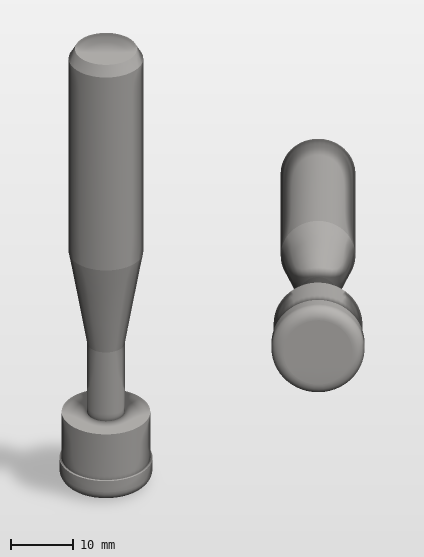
import cadquery as cq

total_height = 80.4

tip_diameter = 14.95
tip_height = 4.0
tip_fillet = 1.9

collar_diameter = 14.2
collar_top = 12.55

plug_diameter = 8.0

stem_diameter = 6.0
grip_diameter = 12.0
taper_bottom = 25.4
taper_top = 42.5
end_face_diameter = 10.0
end_chamfer_height = 1.8


def make_tip():
    """Solid disc with a rounded lower edge."""
    disc = cq.Workplane("XY").circle(tip_diameter / 2).extrude(tip_height)
    return disc.faces("<Z").edges().fillet(tip_fillet)


def make_collar():
    """Ring standing on the tip, bored through for the handle plug."""
    return (
        cq.Workplane("XY", origin=(0, 0, tip_height))
        .circle(collar_diameter / 2)
        .circle(plug_diameter / 2)
        .extrude(collar_top - tip_height)
    )


def make_handle():
    """Revolved plug, thin stem, taper and grip; the plug ends flush with the collar."""
    plug_radius = plug_diameter / 2
    stem_radius = stem_diameter / 2
    grip_radius = grip_diameter / 2
    half_outline = [
        (0, tip_height),
        (plug_radius, tip_height),
        (plug_radius, collar_top),
        (stem_radius, collar_top),
        (stem_radius, taper_bottom),
        (grip_radius, taper_top),
        (grip_radius, total_height - end_chamfer_height),
        (end_face_diameter / 2, total_height),
        (0, total_height),
    ]
    return cq.Workplane("XZ").polyline(half_outline).close().revolve(360, (0, 0), (0, 1))


tip = make_tip()
collar = make_collar()
handle = make_handle()

result = cq.Compound.makeCompound([tip.val(), collar.val(), handle.val()])